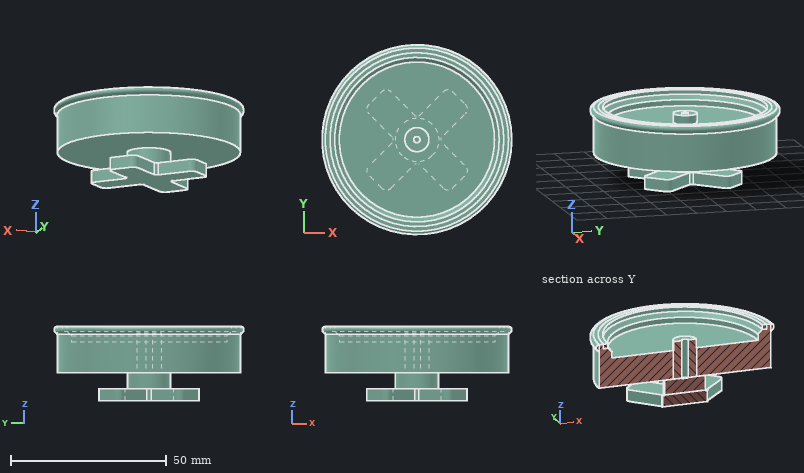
import cadquery as cq
import math

total_height = 24.0
knob_height = 4.0
neck_height = 5.0
neck_top = knob_height + neck_height
cup_bottom = neck_top

cup_diameter = 59.0
floor_depth = 5.0
floor_top = total_height - floor_depth
throat_diameter = 50.0
throat_depth = 3.0
throat_top = total_height - throat_depth

ring_outer_diameter = 56.0
ring_inner_diameter = 53.0
cone_height = (ring_inner_diameter - throat_diameter) / 2
ring_bottom = throat_top + cone_height

bead_diameter = 61.2
bead_radius = (bead_diameter - cup_diameter) / 2

neck_diameter = 14.0
post_diameter = 7.75
post_hole_diameter = 2.0
post_rise = 3.0
post_top = floor_top + post_rise

knob_span = 38.05
arm_width = 10.05
arm_corner_radius = 2.0
arm_angles = (45, 135)
crotch_chamfer = 0.9


def cylinder(diameter, bottom, top):
    return cq.Workplane("XY", origin=(0, 0, bottom)).circle(diameter / 2).extrude(top - bottom)


def tube(outer_diameter, inner_diameter, bottom, top):
    return cylinder(outer_diameter, bottom, top).cut(cylinder(inner_diameter, bottom, top))


def spin(profile):
    """Revolve a closed profile, drawn as (radius, height), about the Z axis."""
    return profile.revolve(360, (0, 0, 0), (0, 1, 0))


def make_cup():
    profile = cq.Workplane("XZ").polyline([
        (post_diameter / 2, cup_bottom),
        (cup_diameter / 2, cup_bottom),
        (cup_diameter / 2, total_height),
        (ring_outer_diameter / 2, total_height),
        (ring_outer_diameter / 2, ring_bottom),
        (ring_inner_diameter / 2, ring_bottom),
        (throat_diameter / 2, throat_top),
        (throat_diameter / 2, floor_top),
        (post_diameter / 2, floor_top),
    ]).close()
    return spin(profile)


def make_ring():
    return tube(ring_outer_diameter, ring_inner_diameter, ring_bottom, total_height)


def make_bead():
    """Quarter-round from the rim to the widest point, an eighth-round below it, then a 45 degree cone."""
    center_r = cup_diameter / 2
    center_z = total_height - bead_radius

    def on_arc(degrees):
        angle = math.radians(degrees)
        return center_r + bead_radius * math.cos(angle), center_z + bead_radius * math.sin(angle)

    cone_bottom = center_z - bead_radius * math.sqrt(2)
    profile = (
        cq.Workplane("XZ")
        .moveTo(*on_arc(90))
        .threePointArc(on_arc(45), on_arc(0))
        .threePointArc(on_arc(-22.5), on_arc(-45))
        .lineTo(center_r, cone_bottom)
        .close()
    )
    return spin(profile)


def make_post():
    return tube(post_diameter, post_hole_diameter, cup_bottom, post_top)


def make_neck():
    return cylinder(neck_diameter, knob_height, neck_top)


def make_knob():
    cross = cq.Workplane("XY")
    for angle in arm_angles:
        arm = cq.Workplane("XY").rect(knob_span, arm_width).extrude(knob_height)
        arm = arm.edges("|Z").fillet(arm_corner_radius)
        cross = cross.union(arm.rotate((0, 0, 0), (0, 0, 1), angle))
    inside_corners = cq.selectors.BoxSelector(
        (-arm_width, -arm_width, 0), (arm_width, arm_width, knob_height)
    )
    return cross.edges("|Z").edges(inside_corners).chamfer(crotch_chamfer)


cup = make_cup()
ring = make_ring()
bead = make_bead()
post = make_post()
neck = make_neck()
knob = make_knob()

result = cq.Compound.makeCompound([
    cup.val(),
    ring.val(),
    bead.val(),
    post.val(),
    neck.val(),
    knob.val(),
])